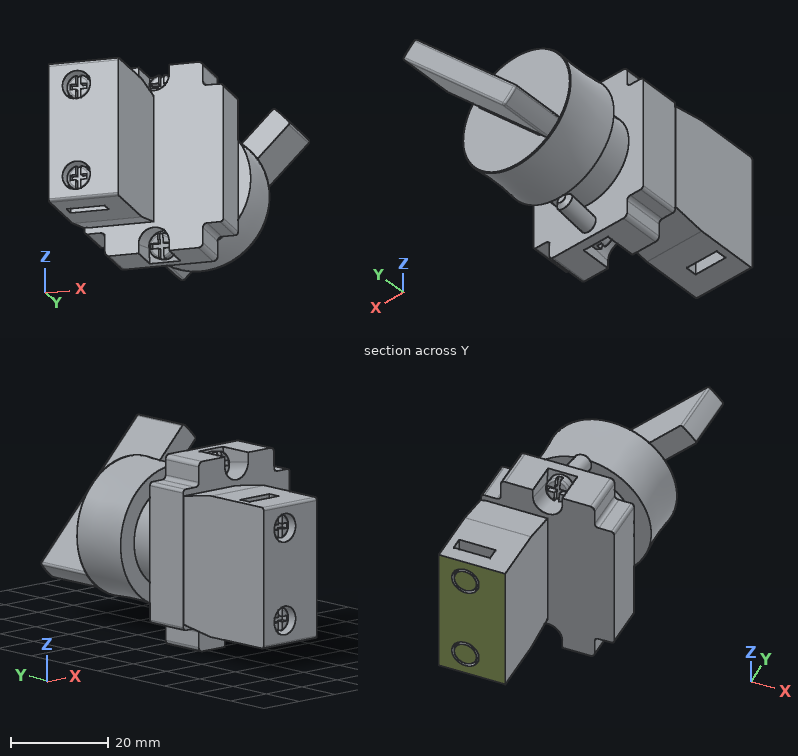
import math

import cadquery as cq


PLATE_DEPTH = 10.0
PLATE_WIDTH = 30.0
PLATE_BODY_HEIGHT = 29.7
EAR_WIDTH = 21.2
PLATE_HEIGHT = 40.0
PLATE_CORNER_RADIUS = 0.7
EAR_RADIUS = 1.0
EAR_ROOT_RADIUS = 0.9

NECK_RADIUS = 11.05
NECK_LENGTH = 9.0
COLLAR_LENGTH = 13.5
COLLAR_FRONT_RADIUS = 14.85
COLLAR_WAIST_RADIUS = 14.45
COLLAR_BACK_RADIUS = 14.7
COLLAR_CHAMFER = 0.2
COLLAR_START = PLATE_DEPTH + NECK_LENGTH
COLLAR_END = COLLAR_START + COLLAR_LENGTH

HANDLE_ANGLE = 45.0
HANDLE_DEPTH = 14.0
HANDLE_WIDTH = 5.0
HANDLE_TIP_RADIUS = 24.57
HANDLE_TAIL_RADIUS = 14.6
HANDLE_EDGE_RADIUS = 0.5
FOOT_LENGTH = 23.3
FOOT_FLARE = 0.2
FOOT_HEIGHT = 0.5

BLOCK_WIDTH = PLATE_WIDTH / 2
BLOCK_DEPTH = 24.2
BLOCK_HEIGHT = PLATE_BODY_HEIGHT
BLOCK_BACK_HEIGHT = 27.0
BLOCK_TAPER_DEPTH = 8.2
GROOVE_WIDTH = 0.2
GROOVE_DEPTH = 0.6
BLOCK_EDGE_RADIUS = 0.6

TERMINAL_X = -9.0
TERMINAL_Z = 9.75
TERMINAL_HOLE_DIAMETER = 6.0
TERMINAL_HOLE_DEPTH = 4.0
TERMINAL_HEAD_DIAMETER = 5.1
TERMINAL_HEAD_HEIGHT = 2.6
TERMINAL_CROSS_LENGTH = 3.6
TERMINAL_SHANK_DIAMETER = 3.0
ENTRY_WIDTH = 8.2
ENTRY_HEIGHT = 2.8
ENTRY_X = -9.0
ENTRY_SETBACK = 7.65
ENTRY_DEPTH = 8.0

CLAMP_ANGLE = 10.0
CLAMP_Z = 16.3
CLAMP_HEAD_FRONT = 4.75
CLAMP_TIP = PLATE_DEPTH + 8.4
CLAMP_DIAMETER = 4.1
CLAMP_TIP_CHAMFER = 1.0
CLAMP_HEAD_DIAMETER = 5.4
CLAMP_HEAD_HEIGHT = 2.35
CLAMP_CROSS_LENGTH = 4.4
POCKET_WIDTH = 6.6

HEAD_EDGE_RADIUS = 0.5
CROSS_WIDTH = 1.1
CROSS_DEPTH = 1.4


def y_plane(y):
    """Sketch plane at depth y with local x = +X, local y = +Z and normal -Y."""
    return cq.Workplane("XZ", origin=(0, y, 0))


def disc(radius, y, length):
    return y_plane(y).circle(radius).extrude(-length)


def make_plate():
    body = y_plane(0).rect(PLATE_WIDTH, PLATE_BODY_HEIGHT).extrude(-PLATE_DEPTH)
    body = body.edges("|Y").fillet(PLATE_CORNER_RADIUS)
    ears = y_plane(0).rect(EAR_WIDTH, PLATE_HEIGHT).extrude(-PLATE_DEPTH)
    ears = ears.edges("|Y").fillet(EAR_RADIUS)
    plate = body.union(ears)
    reach = EAR_ROOT_RADIUS / 10
    inner_corners = plate.edges("|Y").edges(
        cq.selectors.BoxSelector(
            (-EAR_WIDTH / 2 - reach, -reach, -PLATE_BODY_HEIGHT / 2 - reach),
            (EAR_WIDTH / 2 + reach, PLATE_DEPTH + reach, PLATE_BODY_HEIGHT / 2 + reach),
        )
    )
    return inner_corners.fillet(EAR_ROOT_RADIUS)


def make_collar():
    waist = (COLLAR_WAIST_RADIUS, COLLAR_START + COLLAR_LENGTH / 2)
    collar = (
        cq.Workplane("XY")
        .moveTo(0, COLLAR_START)
        .lineTo(COLLAR_FRONT_RADIUS, COLLAR_START)
        .threePointArc(waist, (COLLAR_BACK_RADIUS, COLLAR_END - COLLAR_CHAMFER))
        .lineTo(COLLAR_BACK_RADIUS - COLLAR_CHAMFER, COLLAR_END)
        .lineTo(0, COLLAR_END)
        .close()
        .revolve(360, (0, 0, 0), (0, 1, 0))
    )
    return collar.union(disc(NECK_RADIUS, PLATE_DEPTH, NECK_LENGTH))


def make_handle():
    """Bar drawn along +X, then turned so its tip points to +X +Z."""
    half = HANDLE_WIDTH / 2
    tip_x = math.sqrt(HANDLE_TIP_RADIUS**2 - half**2)
    tail_x = math.sqrt(HANDLE_TAIL_RADIUS**2 - half**2)
    bar = (
        y_plane(COLLAR_END)
        .moveTo(-tail_x, -half)
        .lineTo(tip_x, -half)
        .threePointArc((HANDLE_TIP_RADIUS, 0), (tip_x, half))
        .lineTo(-tail_x, half)
        .threePointArc((-HANDLE_TAIL_RADIUS, 0), (-tail_x, -half))
        .close()
        .extrude(-HANDLE_DEPTH)
    )
    bar = bar.edges("|Y").fillet(HANDLE_EDGE_RADIUS)
    bar = bar.faces(">Y").edges().fillet(HANDLE_EDGE_RADIUS)
    foot = (
        y_plane(COLLAR_END)
        .rect(FOOT_LENGTH, HANDLE_WIDTH + 2 * FOOT_FLARE)
        .workplane(offset=-FOOT_HEIGHT)
        .rect(FOOT_LENGTH - 2 * FOOT_FLARE, HANDLE_WIDTH)
        .loft()
    )
    return bar.union(foot).rotate((0, 0, 0), (0, 1, 0), -HANDLE_ANGLE)


def cross_recess(front_y, across, length):
    """Cutter for a crossed slot: one slot right across along Z, a shorter one along X."""
    upright = y_plane(front_y).rect(CROSS_WIDTH, across).extrude(-CROSS_DEPTH)
    level = y_plane(front_y).rect(length, CROSS_WIDTH).extrude(-CROSS_DEPTH)
    return upright.union(level)


def screw_head(diameter, front_y, height, cross_length):
    head = disc(diameter / 2, front_y, height).faces("<Y").edges().fillet(HEAD_EDGE_RADIUS)
    return head.cut(cross_recess(front_y, diameter, cross_length))


def make_block():
    half = BLOCK_HEIGHT / 2
    back_half = BLOCK_BACK_HEIGHT / 2
    taper_end = -BLOCK_TAPER_DEPTH
    front = -BLOCK_DEPTH
    profile = [
        (0, -back_half),
        (taper_end, -half),
        (front, -half),
        (front, half),
        (taper_end, half),
        (0, back_half),
    ]
    block = cq.Workplane("YZ").polyline(profile).close().extrude(-BLOCK_WIDTH)
    block = block.faces("<Y").edges("|X").fillet(BLOCK_EDGE_RADIUS)
    groove = (
        y_plane(0)
        .center(-BLOCK_WIDTH + GROOVE_DEPTH / 2, 0)
        .rect(GROOVE_DEPTH, BLOCK_HEIGHT)
        .extrude(GROOVE_WIDTH)
    )
    block = block.cut(groove)
    for side in (1, -1):
        block = add_terminal(block, side)
    return block


def add_terminal(block, side):
    """Screw in its round recess and the wire entry that crosses its shank; side +1 top, -1 bottom."""
    front = -BLOCK_DEPTH
    place = (TERMINAL_X, 0, side * TERMINAL_Z)
    recess = disc(TERMINAL_HOLE_DIAMETER / 2, front, TERMINAL_HOLE_DEPTH).translate(place)
    head_y = front + TERMINAL_HOLE_DEPTH - TERMINAL_HEAD_HEIGHT
    head = screw_head(TERMINAL_HEAD_DIAMETER, head_y, TERMINAL_HEAD_HEIGHT, TERMINAL_CROSS_LENGTH)
    shank = disc(TERMINAL_SHANK_DIAMETER / 2, front, BLOCK_DEPTH).translate(place)
    entry_z = side * (BLOCK_HEIGHT - ENTRY_DEPTH) / 2
    entry = cq.Workplane("XY").box(ENTRY_WIDTH, ENTRY_HEIGHT, ENTRY_DEPTH)
    entry = entry.translate((ENTRY_X, front + ENTRY_SETBACK, entry_z)).cut(shank)
    return block.cut(recess).cut(entry).union(head.translate(place))


def tilt_clamp(shape):
    """Lean a shape built along Y so that its axis leaves the plate back at the clamp height."""
    return shape.rotate((0, 0, 0), (1, 0, 0), -CLAMP_ANGLE).translate((0, PLATE_DEPTH, CLAMP_Z))


def clamp_along(y):
    """Position on the untilted clamp axis, zero at the plate back, of the depth y in the part."""
    return (y - PLATE_DEPTH) / math.cos(math.radians(CLAMP_ANGLE))


def clamp_pocket():
    """U-shaped pocket around the upper clamping screw, open at the ear top and the plate front."""
    floor = clamp_along(CLAMP_HEAD_FRONT) + CLAMP_HEAD_HEIGHT
    length = PLATE_DEPTH
    round_end = disc(POCKET_WIDTH / 2, floor - length, length)
    walls = (
        y_plane(floor - length)
        .center(0, POCKET_WIDTH)
        .rect(POCKET_WIDTH, 2 * POCKET_WIDTH)
        .extrude(-length)
    )
    return tilt_clamp(round_end.union(walls))


def clamp_screw():
    """Upper clamping screw: a slotted head and a shank with a chamfered tip."""
    front = clamp_along(CLAMP_HEAD_FRONT)
    shank_start = front + CLAMP_HEAD_HEIGHT
    shank_length = clamp_along(CLAMP_TIP) - shank_start
    head = screw_head(CLAMP_HEAD_DIAMETER, front, CLAMP_HEAD_HEIGHT, CLAMP_CROSS_LENGTH)
    shank = disc(CLAMP_DIAMETER / 2, shank_start, shank_length)
    shank = shank.faces(">Y").edges().chamfer(CLAMP_TIP_CHAMFER)
    return tilt_clamp(head.union(shank))


def add_clamps(plate):
    pocket = clamp_pocket()
    screw = clamp_screw()
    plate = plate.cut(pocket).cut(pocket.mirror("XY"))
    return plate.union(screw).union(screw.mirror("XY"))


result = (
    add_clamps(make_plate())
    .union(make_collar())
    .union(make_handle())
    .union(make_block())
)